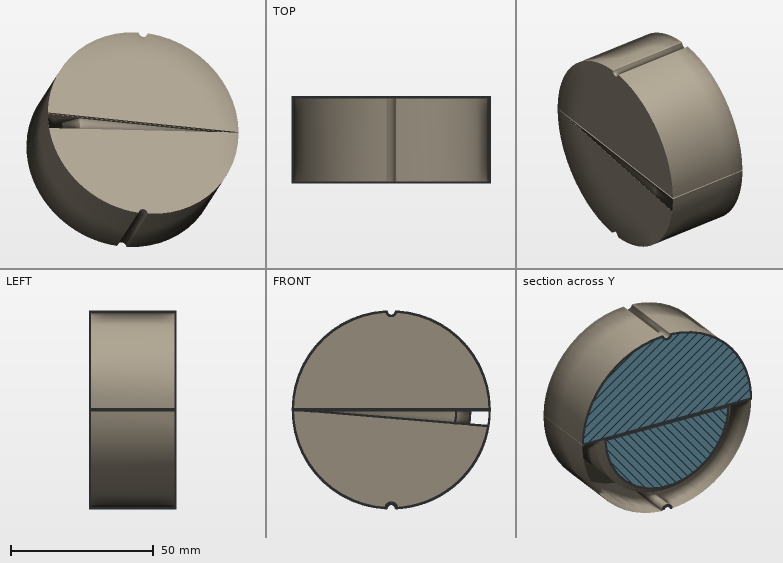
import cadquery as cq
import math

RADIUS = 34.5
WIDTH = 30.0
GAP_TOP = 0.3
DIVIDER_TOP = -0.15
DIVIDER_THICKNESS = 0.1
HINGE_HEIGHT = 0.15
CUT_ANGLE = 4.8
WALL = 0.035
CORE_WIDTH = 27.7
CORE_FACE_RADIUS = 22.8
CORE_RADIUS = 27.75
GROOVE_RADIUS = 1.6
LIP_FILLET = 0.4

CAVITY_RADIUS = RADIUS - WALL
CAVITY_WIDTH = WIDTH - 2 * WALL
DIVIDER_BOTTOM = DIVIDER_TOP - DIVIDER_THICKNESS
CORE_CHAMFER = CORE_RADIUS - CORE_FACE_RADIUS
MARGIN = 6.9


def cylinder(radius, width):
    """Cylinder along Y, centred on the origin."""
    return cq.Workplane("XZ").circle(radius).extrude(width / 2, both=True)


def half_space(level, side):
    """Block beyond the given Z level: side +1 is above, -1 is below."""
    size = 2 * (RADIUS + MARGIN)
    return cq.Workplane("XY").box(size, size, size).translate((0, 0, level + side * size / 2))


def grooved_disc():
    """Full disc with a round-bottomed, round-lipped groove at top and bottom."""
    disc = cylinder(RADIUS, WIDTH)
    for side in (1, -1):
        disc = disc.cut(cylinder(GROOVE_RADIUS, WIDTH).translate((0, 0, side * RADIUS)))
    lip_height = RADIUS - GROOVE_RADIUS
    for side in (1, -1):
        lips = cq.selectors.BoxSelector(
            (-2 * GROOVE_RADIUS, -WIDTH, side * lip_height),
            (2 * GROOVE_RADIUS, WIDTH, side * (RADIUS + GROOVE_RADIUS)),
        )
        disc = disc.edges("|Y").edges(lips).fillet(LIP_FILLET)
    return disc


def make_upper_half():
    return grooved_disc().intersect(half_space(GAP_TOP, 1))


def wedge_cut():
    """Opening above the sloped edge of the end plates, rising from the -X side."""
    length = 2 * RADIUS + MARGIN
    drop = length * math.tan(math.radians(CUT_ANGLE))
    return (
        cq.Workplane("XZ", origin=(-RADIUS, 0, HINGE_HEIGHT))
        .polyline([(0, 0), (length, -drop), (length, length), (0, length)])
        .close()
        .extrude(WIDTH / 2 + MARGIN, both=True)
    )


def make_lower_shell():
    """Lower half: a thin rim joined to two end plates with sloped top edges."""
    disc = grooved_disc()
    backing_radius = GROOVE_RADIUS + LIP_FILLET + WALL
    groove_backing = cylinder(backing_radius, WIDTH).translate((0, 0, -RADIUS))
    cavity = cylinder(CAVITY_RADIUS, CAVITY_WIDTH).cut(groove_backing)
    end_opening = cylinder(CAVITY_RADIUS, WIDTH).intersect(wedge_cut())
    above_plates = half_space(DIVIDER_TOP, 1).intersect(wedge_cut())
    return disc.cut(cavity).cut(end_opening).cut(above_plates)


def make_divider():
    """Thin flat sheet closing the top of the cavity."""
    return (
        cylinder(CAVITY_RADIUS, CAVITY_WIDTH)
        .intersect(half_space(DIVIDER_TOP, -1))
        .intersect(half_space(DIVIDER_BOTTOM, 1))
    )


def make_core():
    """Half drum under the divider, bevelled at both ends."""
    drum = cylinder(CORE_RADIUS, CORE_WIDTH).edges("%CIRCLE").chamfer(CORE_CHAMFER)
    return drum.intersect(half_space(DIVIDER_BOTTOM, -1))


upper_half = make_upper_half()
lower_shell = make_lower_shell()
divider = make_divider()
core = make_core()

result = cq.Compound.makeCompound(
    [upper_half.val(), lower_shell.val(), divider.val(), core.val()]
)